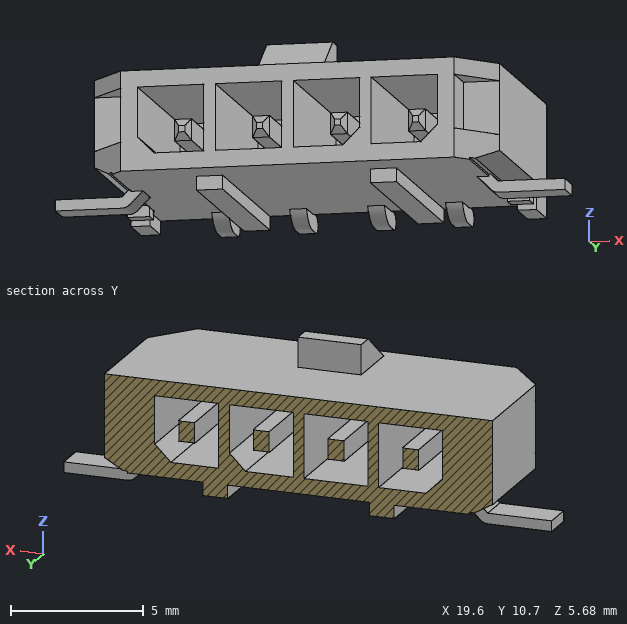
import cadquery as cq


body_width = 15.65
body_depth = 9.9
body_height = 3.85
corner_x = 1.4
corner_y = 1.65
half_width = body_width / 2
front_half = half_width - corner_x
notch_bottom = 1.12
notch_top = 3.18

relief_height = 0.51
relief_roof = 0.08
slope_end_x = 7.07
relief_inner_x = 6.9
foot_front = 8.05
foot_drop = 0.53

rib_inner_x = 2.85
rib_outer_x = 3.85
rib_front = 1.6

latch_width = 2.55
latch_height = 1.2
latch_toe = 0.53
latch_crest = 2.16
latch_back = 2.93

pin_count = 4
pitch = 3.0
pin_places = [(index - (pin_count - 1) / 2) * pitch for index in range(pin_count)]
pocket_size = 2.55
pocket_depth = 7.47
pocket_corner = 0.65
keyed_sides = [-1, 0, 1, 1]
axis_height = body_height / 2
pin_width = 0.65
pin_height = 0.83
pin_tip_start = 1.96
pin_tip_length = 0.24
pin_tip_size = 0.24

solder_plane = -0.63
tail_overhang = 0.8
tail_thickness = 0.67
tail_heel_radius = 1.18

nail_span = 19.65
nail_front = 3.95
nail_back = 5.25
nail_thickness = 0.43
nail_bend_x = 7.25
nail_bend_radius = 0.47
lug_front = 7.15
lug_back = 7.82
lug_bottom = -0.35
lug_outer_x = 7.76

overlap = 0.2


def box_between(x_range, y_range, z_range):
    """Box spanning three coordinate ranges."""
    sizes = [high - low for low, high in (x_range, y_range, z_range)]
    return cq.Workplane("XY").box(*sizes, centered=False).translate((x_range[0], y_range[0], z_range[0]))


def extrude_along_y(points, front, back):
    """Closed XZ outline carried from Y = front to Y = back."""
    return cq.Workplane("XZ", origin=(0, front, 0)).polyline(points).close().extrude(front - back)


def extrude_along_x(points, width):
    """Closed YZ outline carried symmetrically about X = 0."""
    return cq.Workplane("YZ").polyline(points).close().extrude(width / 2, both=True)


def with_mirror(solid):
    """A right-hand feature together with its left-hand twin."""
    return solid.union(solid.mirror("YZ"))


def make_housing():
    outline = [
        (-front_half, 0),
        (front_half, 0),
        (half_width, corner_y),
        (half_width, body_depth),
        (-half_width, body_depth),
        (-half_width, corner_y),
    ]
    return cq.Workplane("XY").polyline(outline).close().extrude(body_height)


def make_corner_notch():
    """Recess cutting the sloped corner back to a square inner corner."""
    return box_between((front_half, half_width), (0, corner_y), (notch_bottom, notch_top))


def make_edge_relief():
    outline = [
        (relief_inner_x, 0),
        (relief_inner_x, relief_roof),
        (slope_end_x, relief_roof),
        (half_width, relief_height),
        (half_width, 0),
    ]
    return extrude_along_y(outline, 0, foot_front)


def make_foot():
    return box_between((slope_end_x, half_width), (foot_front, body_depth), (-foot_drop, 0))


def make_rib():
    return box_between((rib_inner_x, rib_outer_x), (rib_front, body_depth), (-foot_drop, 0))


def make_latch():
    crest = body_height + latch_height
    outline = [(latch_toe, body_height), (latch_crest, crest), (latch_back, crest), (latch_back, body_height)]
    return extrude_along_x(outline, latch_width)


def make_pocket(center_x, keyed_side):
    pocket = box_between(
        (-pocket_size / 2, pocket_size / 2),
        (0, pocket_depth),
        (axis_height - pocket_size / 2, axis_height + pocket_size / 2),
    )
    if keyed_side:
        side = ">X" if keyed_side > 0 else "<X"
        pocket = pocket.faces(side).edges("<Z").chamfer(pocket_corner)
    return pocket.translate((center_x, 0, 0))


def make_pin(center_x):
    shank_start = pin_tip_start + pin_tip_length
    shank = box_between(
        (-pin_width / 2, pin_width / 2),
        (shank_start, pocket_depth + overlap),
        (axis_height - pin_height / 2, axis_height + pin_height / 2),
    )
    tip = (
        cq.Workplane("XZ", origin=(0, shank_start, axis_height))
        .rect(pin_width, pin_height)
        .workplane(offset=pin_tip_length)
        .rect(pin_tip_size, pin_tip_size)
        .loft()
    )
    return shank.union(tip).translate((center_x, 0, 0))


def make_tail(center_x):
    """Solder tail with a round rear end and a heel curving up into the housing."""
    end_radius = tail_thickness / 2
    round_y = body_depth + tail_overhang - end_radius
    tail_top = solder_plane + tail_thickness
    heel_start = body_depth - overlap
    heel_y = heel_start - tail_heel_radius
    heel_z = solder_plane + tail_heel_radius
    heel_bow = tail_heel_radius * (1 - 0.5 ** 0.5)
    return (
        cq.Workplane("YZ", origin=(center_x, 0, 0))
        .moveTo(heel_start, solder_plane)
        .lineTo(round_y, solder_plane)
        .threePointArc((round_y + end_radius, solder_plane + end_radius), (round_y, tail_top))
        .lineTo(heel_start, tail_top)
        .lineTo(heel_start, heel_z)
        .lineTo(heel_y, heel_z)
        .threePointArc((heel_y + heel_bow, solder_plane + heel_bow), (heel_start, solder_plane))
        .close()
        .extrude(pin_width / 2, both=True)
    )


def make_nail():
    """Flat solder strap that bends up at 45 degrees into the housing."""
    strap_top = solder_plane + nail_thickness
    rise = overlap - strap_top
    outer_bend_x = nail_bend_x - nail_thickness * (2 ** 0.5 - 1)
    outer_top_x = outer_bend_x - (overlap - solder_plane)
    outline = [
        (nail_span / 2, solder_plane),
        (nail_span / 2, strap_top),
        (nail_bend_x, strap_top),
        (nail_bend_x - rise, overlap),
        (outer_top_x, overlap),
        (outer_bend_x, solder_plane),
    ]
    outer_bend = (outer_bend_x, (nail_front + nail_back) / 2, solder_plane)
    nail = extrude_along_y(outline, nail_front, nail_back)
    return nail.edges(cq.selectors.NearestToPointSelector(outer_bend)).fillet(nail_bend_radius)


def make_lug():
    return box_between((relief_inner_x, lug_outer_x), (lug_front, lug_back), (lug_bottom, relief_roof))


result = make_housing()
result = result.cut(with_mirror(make_corner_notch()))
result = result.cut(with_mirror(make_edge_relief()))
for place, keyed_side in zip(pin_places, keyed_sides):
    result = result.cut(make_pocket(place, keyed_side))
for side_feature in (make_foot(), make_rib(), make_nail(), make_lug()):
    result = result.union(with_mirror(side_feature))
result = result.union(make_latch())
for place in pin_places:
    result = result.union(make_pin(place)).union(make_tail(place))